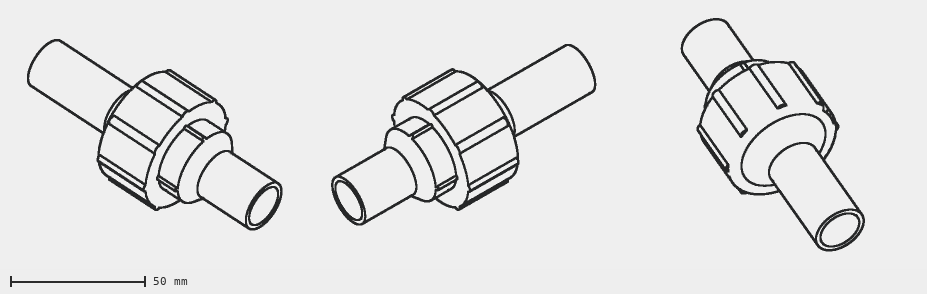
import cadquery as cq
import math

total_length = 108.0
pipe_radius = 20.0 / 2
bore_radius = 16.2 / 2

left_cone_start = 37.8
nut_start = 45.4
nut_end = 69.3
left_cone_radius = pipe_radius + (nut_start - left_cone_start)

nut_radius = 22.5
nut_edge_radius = 1.2
nut_rib_count = 8
nut_rib_radius = 2.0
nut_rib_tip = 47.0 / 2
nut_rib_start = nut_start + nut_edge_radius

collar_radius = 15.1
collar_rib_count = 4
collar_rib_radius = 0.9
collar_rib_tip = 16.0
right_cone_end = 84.0
collar_end = right_cone_end - (collar_radius - pipe_radius)

rib_root_depth = 2.2


def revolve_about_x(profile):
    """Revolve a closed profile of (X, radius) points about the X axis."""
    return profile.close().revolve(360, (0, 0, 0), (1, 0, 0))


def round_ribs(count, radius, tip, start, end):
    """Evenly spaced round ribs parallel to X, reaching out to the tip radius."""
    return (
        cq.Workplane("YZ", origin=(start, 0, 0))
        .polarArray(tip - radius, 0, 360, count)
        .circle(radius)
        .extrude(end - start)
    )


def turned_body():
    """Pipes, cones, nut and collar around the through bore."""
    arc_inset = nut_edge_radius * (1 - math.sqrt(0.5))
    return revolve_about_x(
        cq.Workplane("XY")
        .moveTo(0, bore_radius)
        .lineTo(0, pipe_radius)
        .lineTo(left_cone_start, pipe_radius)
        .lineTo(nut_start, left_cone_radius)
        .lineTo(nut_start, nut_radius - nut_edge_radius)
        .threePointArc(
            (nut_start + arc_inset, nut_radius - arc_inset),
            (nut_start + nut_edge_radius, nut_radius),
        )
        .lineTo(nut_end, nut_radius)
        .lineTo(nut_end, collar_radius)
        .lineTo(collar_end, collar_radius)
        .lineTo(right_cone_end, pipe_radius)
        .lineTo(total_length, pipe_radius)
        .lineTo(total_length, bore_radius)
    )


def collar_ribs():
    """Ribs along the collar, with their ends trimmed to the 45 degree taper."""
    root_radius = collar_radius - rib_root_depth
    sleeve_outer_radius = collar_rib_tip + collar_rib_radius
    sleeve_outer_end = right_cone_end - (sleeve_outer_radius - pipe_radius)
    sleeve_root_end = right_cone_end - (root_radius - pipe_radius)
    sleeve = revolve_about_x(
        cq.Workplane("XY")
        .moveTo(nut_end, root_radius)
        .lineTo(nut_end, sleeve_outer_radius)
        .lineTo(sleeve_outer_end, sleeve_outer_radius)
        .lineTo(sleeve_root_end, root_radius)
    )
    ribs = round_ribs(
        collar_rib_count, collar_rib_radius, collar_rib_tip, nut_end, right_cone_end
    )
    return ribs.intersect(sleeve)


nut_ribs = round_ribs(nut_rib_count, nut_rib_radius, nut_rib_tip, nut_rib_start, nut_end)
result = turned_body().union(nut_ribs).union(collar_ribs())